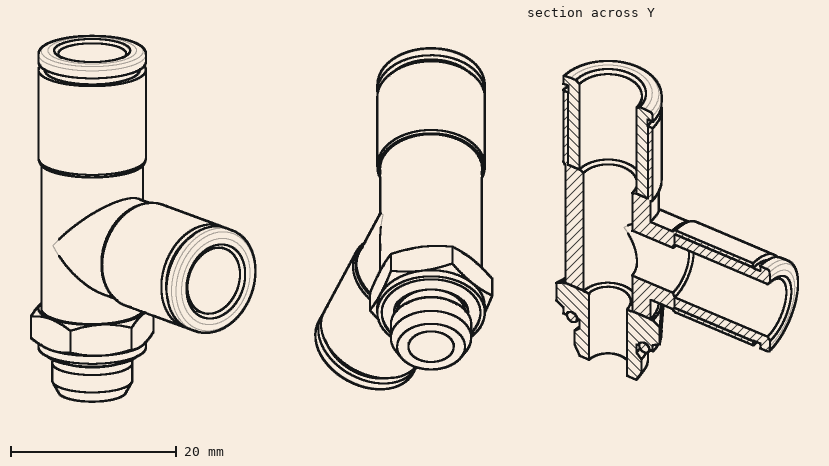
import cadquery as cq
import math

total_height = 43.2
branch_reach = 23.5
branch_height = 19.7

sleeve_dia = 13.0
tube_dia = 12.3
port_length = 14.1
sleeve_chamfer_length = 0.4
sleeve_chamfer_depth = 0.17
passage_dia = 7.0
stop_cone_length = 0.25

collet_bore_dia = 8.2
collet_gap_end = 2.45
collet_head_length = 1.45
collet_neck_dia = 11.5
collet_edge_radius = 0.35
collet_edge_length = 0.45
collet_face_dia = 10.7
collet_face_slope = 0.1
lead_in_dia = 9.2
lead_in_depth = 0.4

thread_dia = 9.7
thread_tip_dia = 8.2
thread_neck_dia = 8.3
stud_bore_dia = 5.5
tip_chamfer_top = 1.43
thread_top = 3.65
thread_neck_bottom = 4.35
flange_bottom = 5.57
flange_dia = 13.0
hex_bottom = 6.55
hex_top = 10.5
hex_across_flats = 13.0
hex_chamfer_angle = 30.0

seal_section_radius = 0.75
seal_outer_dia = 11.92


def rod(diameter, bottom, top):
    """Vertical cylinder on the run axis."""
    return cq.Workplane("XY").workplane(offset=bottom).circle(diameter / 2).extrude(top - bottom)


def revolve_profile(points):
    """Solid of revolution about Z from (radius, height) points."""
    return cq.Workplane("XZ").polyline(points).close().revolve(360, (0, 0), (0, 1))


def place_on_branch(body):
    """Turn a body built along +Z from the origin so that it lies on the branch axis."""
    return body.rotate((0, 0, 0), (0, 1, 0), 90).translate((0, 0, branch_height))


def port_outside(start, face):
    """Tube and larger sleeve of one port, from start up to the collet face height."""
    sleeve_start = face - port_length
    sleeve_end = face - collet_gap_end
    sleeve_radius = sleeve_dia / 2
    return revolve_profile([
        (0, start),
        (tube_dia / 2, start),
        (tube_dia / 2, sleeve_start),
        (sleeve_radius - sleeve_chamfer_depth, sleeve_start),
        (sleeve_radius, sleeve_start + sleeve_chamfer_length),
        (sleeve_radius, sleeve_end),
        (0, sleeve_end),
    ])


def port_bore(start, face):
    """Passage, tapered tube stop and collet socket of one port."""
    stop = face - port_length
    sleeve_end = face - collet_gap_end
    return revolve_profile([
        (0, start),
        (passage_dia / 2, start),
        (passage_dia / 2, stop),
        (collet_bore_dia / 2, stop + stop_cone_length),
        (collet_neck_dia / 2, stop + stop_cone_length),
        (collet_neck_dia / 2, sleeve_end),
        (0, sleeve_end),
    ])


def make_tee():
    outside = port_outside(hex_top, total_height).union(place_on_branch(port_outside(0, branch_reach)))
    bores = port_bore(hex_top, total_height).union(place_on_branch(port_bore(0, branch_reach)))
    return outside.cut(bores)


def make_collet(face):
    """Release collet whose outer face is at the given height."""
    inner_end = face - port_length + stop_cone_length
    head_bottom = face - collet_head_length
    head_radius = sleeve_dia / 2
    edge_end = face - collet_face_slope
    edge_start = edge_end - collet_edge_length
    edge_inner_radius = head_radius - collet_edge_radius
    edge_mid = (
        edge_inner_radius + collet_edge_radius * math.sqrt(0.5),
        edge_start + collet_edge_length * math.sqrt(0.5),
    )
    return (
        cq.Workplane("XZ")
        .moveTo(collet_bore_dia / 2, inner_end)
        .lineTo(collet_neck_dia / 2, inner_end)
        .lineTo(collet_neck_dia / 2, head_bottom)
        .lineTo(head_radius, head_bottom)
        .lineTo(head_radius, edge_start)
        .threePointArc(edge_mid, (edge_inner_radius, edge_end))
        .lineTo(collet_face_dia / 2, face)
        .lineTo(lead_in_dia / 2, face)
        .lineTo(collet_bore_dia / 2, face - lead_in_depth)
        .close()
        .revolve(360, (0, 0), (0, 1))
    )


def make_hexagon():
    """Hexagon with corners on X and conical chamfers at both ends."""
    corner_radius = hex_across_flats / 2 / math.cos(math.radians(30))
    flat_radius = hex_across_flats / 2
    drop = (corner_radius - flat_radius) * math.tan(math.radians(hex_chamfer_angle))
    prism = (
        cq.Workplane("XY")
        .workplane(offset=hex_bottom)
        .polygon(6, 2 * corner_radius)
        .extrude(hex_top - hex_bottom)
    )
    chamfer_envelope = revolve_profile([
        (0, hex_bottom),
        (flat_radius, hex_bottom),
        (corner_radius, hex_bottom + drop),
        (corner_radius, hex_top - drop),
        (flat_radius, hex_top),
        (0, hex_top),
    ])
    return prism.intersect(chamfer_envelope)


def make_seal():
    center_radius = seal_outer_dia / 2 - seal_section_radius
    return (
        cq.Workplane("XZ")
        .center(center_radius, flange_bottom)
        .circle(seal_section_radius)
        .revolve(360, (-center_radius, 0), (-center_radius, 1))
    )


def make_stud():
    threaded_end = revolve_profile([
        (0, 0),
        (thread_tip_dia / 2, 0),
        (thread_dia / 2, tip_chamfer_top),
        (thread_dia / 2, thread_top),
        (thread_neck_dia / 2, thread_neck_bottom),
        (thread_neck_dia / 2, flange_bottom),
        (0, flange_bottom),
    ])
    flange = rod(flange_dia, flange_bottom, hex_bottom)
    bore = rod(stud_bore_dia, 0, hex_top)
    return threaded_end.union(flange).union(make_hexagon()).cut(bore).cut(make_seal())


tee = make_tee()
stud = make_stud()
seal = make_seal()
run_collet = make_collet(total_height)
branch_collet = place_on_branch(make_collet(branch_reach))
collets = [run_collet, branch_collet]

result = cq.Compound.makeCompound([
    tee.val(),
    stud.val(),
    seal.val(),
    *[collet.val() for collet in collets],
])